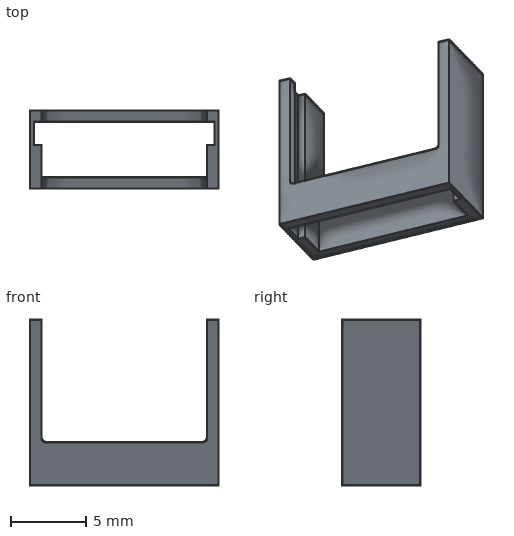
import cadquery as cq

width = 12.5
depth = 5.18
height = 11.0

side_wall = 0.78
front_wall = 0.75
back_wall = 0.76

sill_height = 2.88
front_corner_radius = 0.3
back_corner_radius = 0.25

groove_width = 1.51
groove_floor = 0.28

inner_width = width - 2 * side_wall
back_wall_start = depth - back_wall


def upright_box(x_size, y_start, y_size, z_start=0.0):
    """Box centred on X, reaching from z_start to the top of the part."""
    box = cq.Workplane("XY").box(x_size, y_size, height - z_start, centered=(True, False, False))
    return box.translate((0, y_start, z_start))


def window(y_start, wall, corner_radius):
    """Opening above the sill of one wall, with rounded lower corners."""
    opening = upright_box(inner_width, y_start, wall, sill_height)
    lower_corners = opening.faces("<Z").edges("|Y")
    return lower_corners.fillet(corner_radius)


body = upright_box(width, 0, depth)
cavity = upright_box(inner_width, front_wall, back_wall_start - front_wall)
grooves = upright_box(width - 2 * groove_floor, back_wall_start - groove_width, groove_width)

result = (
    body.cut(cavity)
    .cut(grooves)
    .cut(window(0, front_wall, front_corner_radius))
    .cut(window(back_wall_start, back_wall, back_corner_radius))
)